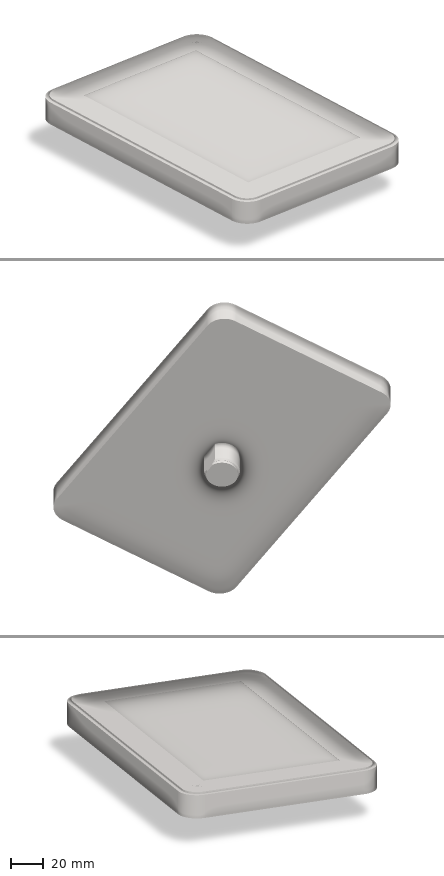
import cadquery as cq

length = 195.0
width = 132.0
total_height = 33.5
corner_radius = 12.5

glass_thickness = 1.2
glass_inset = 2.5

display_length = 153.9
display_width = 91.3
display_depth = 0.2

sensor_inset = 13.0
sensor_diameter = 2.1
slot_inner_diameter = 5.3
slot_outer_diameter = 5.8
slot_length = 1.0
slot_angles = (45, 135)
sensor_depth = 0.2

connector_height = 17.2
barrel_diameter = 22.0
barrel_height = 15.2
barrel_chamfer = 1.0
neck_diameter = 19.7
flat_distance = 9.2

housing_height = total_height - connector_height - glass_thickness
glass_top = housing_height + glass_thickness


def rounded_plate(plate_length, plate_width, radius, bottom, thickness):
    """Plate with rounded vertical corners, centred on the Z axis."""
    return (
        cq.Workplane("XY", origin=(0, 0, bottom))
        .rect(plate_length, plate_width)
        .extrude(thickness)
        .edges("|Z")
        .fillet(radius)
    )


def display_recess():
    """Rectangular pocket cut from the top of the glass."""
    return (
        cq.Workplane("XY", origin=(0, 0, glass_top))
        .rect(display_length, display_width)
        .extrude(-display_depth)
    )


def sensor_recess():
    """Round pocket with four arc slots around it, one on each diagonal."""
    centre = (sensor_inset - length / 2, width / 2 - sensor_inset, glass_top)
    plane = cq.Workplane("XY", origin=centre)
    opening = plane.circle(sensor_diameter / 2).extrude(-sensor_depth)
    ring = (
        plane.circle(slot_outer_diameter / 2)
        .circle(slot_inner_diameter / 2)
        .extrude(-sensor_depth)
    )
    for angle in slot_angles:
        bar = plane.transformed(rotate=(0, 0, angle)).rect(slot_outer_diameter, slot_length)
        opening = opening.union(ring.intersect(bar.extrude(-sensor_depth)))
    return opening


def connector():
    """Stepped round connector hanging from the housing, flattened on its +Y side."""
    barrel = (
        cq.Workplane("XY")
        .circle(barrel_diameter / 2)
        .extrude(-barrel_height)
        .faces("<Z")
        .chamfer(barrel_chamfer)
    )
    neck = cq.Workplane("XY").circle(neck_diameter / 2).extrude(-connector_height)
    beyond_flat = (
        cq.Workplane("XY")
        .center(0, flat_distance + barrel_diameter / 2)
        .rect(barrel_diameter, barrel_diameter)
        .extrude(-connector_height)
    )
    return barrel.union(neck).cut(beyond_flat)


housing = rounded_plate(length, width, corner_radius, 0, housing_height)
glass = rounded_plate(
    length - 2 * glass_inset,
    width - 2 * glass_inset,
    corner_radius - glass_inset,
    housing_height,
    glass_thickness,
)
result = housing.union(glass).union(connector()).cut(display_recess()).cut(sensor_recess())